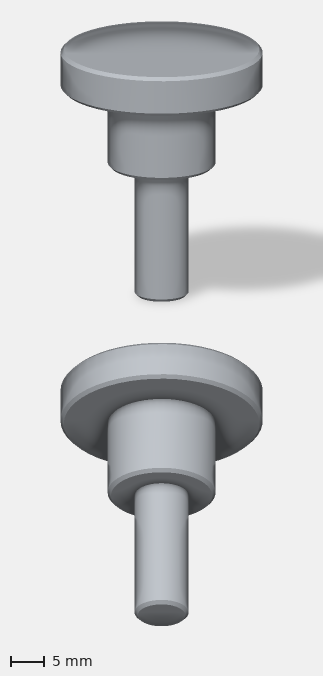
import cadquery as cq

total_height = 38.0
head_diameter = 30.0
head_height = 6.0
collar_diameter = 16.0
collar_height = 12.0
pin_diameter = 8.0
edge_chamfer = 0.5

pin_height = total_height - head_height - collar_height
head_base = pin_height + collar_height


def cylinder(diameter, height, base):
    """Upright cylinder on the Z axis, starting at the given height."""
    return cq.Workplane("XY").workplane(offset=base).circle(diameter / 2).extrude(height)


pin = cylinder(pin_diameter, pin_height, 0).faces("<Z").chamfer(edge_chamfer)
collar = cylinder(collar_diameter, collar_height, pin_height).faces("<Z").chamfer(edge_chamfer)
head = cylinder(head_diameter, head_height, head_base).faces("<Z or >Z").chamfer(edge_chamfer)

result = pin.union(collar).union(head)